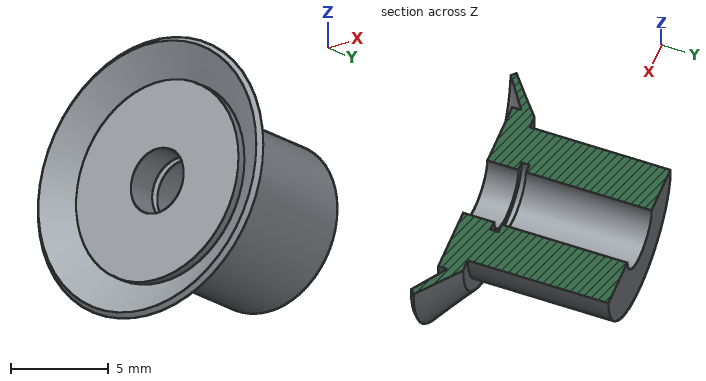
import cadquery as cq

rim_diameter = 15.0
length = 9.8

rim_radius = rim_diameter / 2
lip_bevel = 0.25
flare_end = 2.1
flare_back_radius = 5.2

pad_radius = 5.4
pad_face = 0.8
pad_height = 0.48
pad_base = pad_face + pad_height

stem_radius = 4.53

bore_radius = 1.75
groove_radius = 2.25
groove_start = 2.5
groove_width = 0.4
groove_end = groove_start + groove_width

half_section = [
    (bore_radius, pad_face),
    (pad_radius, pad_face),
    (pad_radius, pad_base),
    (rim_radius - lip_bevel, 0),
    (rim_radius, lip_bevel),
    (flare_back_radius, flare_end),
    (stem_radius, flare_end),
    (stem_radius, length),
    (bore_radius, length),
    (bore_radius, groove_end),
    (groove_radius, groove_end),
    (groove_radius, groove_start),
    (bore_radius, groove_start),
]

result = cq.Workplane("XY").polyline(half_section).close().revolve(360, (0, 0), (0, 1))